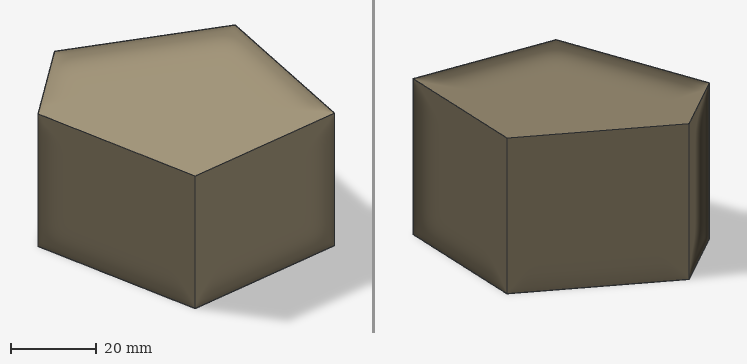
import cadquery as cq

overall = 56.55
side = 40.0
offset = overall - side

outline = [
    (overall, overall),
    (offset, overall),
    (0, offset),
    (offset, 0),
    (overall, offset),
]

result = cq.Workplane("XY").polyline(outline).close().extrude(side)